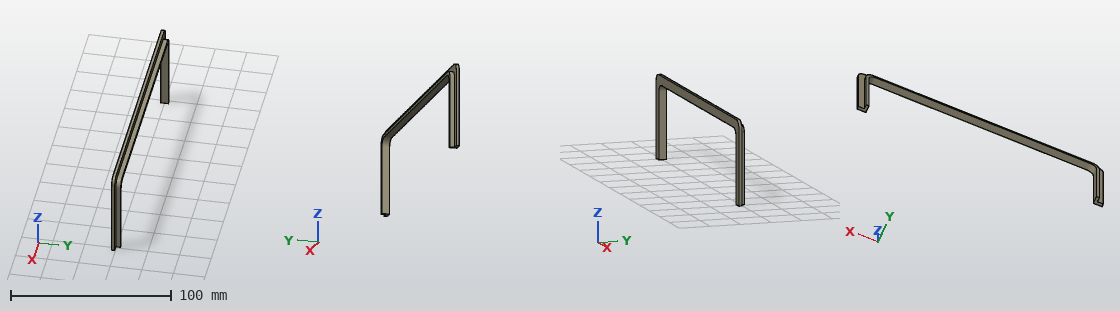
import cadquery as cq

width = 166.0
height = 54.0
depth = 5.0

band_width = 6.0
face_thickness = 2.0
step_inset = 4.0

outer_radius = 5.0
step_radius = 5.0
opening_radius = 5.0


def arch_block(inset, corner_radius, y_start, thickness):
    """Upright block on Z = 0, inset at the sides and top, with rounded upper corners."""
    block_width = width - 2 * inset
    block_height = height - inset
    block = cq.Workplane("XY").box(block_width, thickness, block_height, centered=(True, False, False))
    return block.translate((0, y_start, 0)).edges("|Y and >Z").fillet(corner_radius)


face = arch_block(0, outer_radius, 0, face_thickness)
step = arch_block(step_inset, step_radius, face_thickness, depth - face_thickness)
opening = arch_block(band_width, opening_radius, 0, depth)

result = face.union(step).cut(opening)